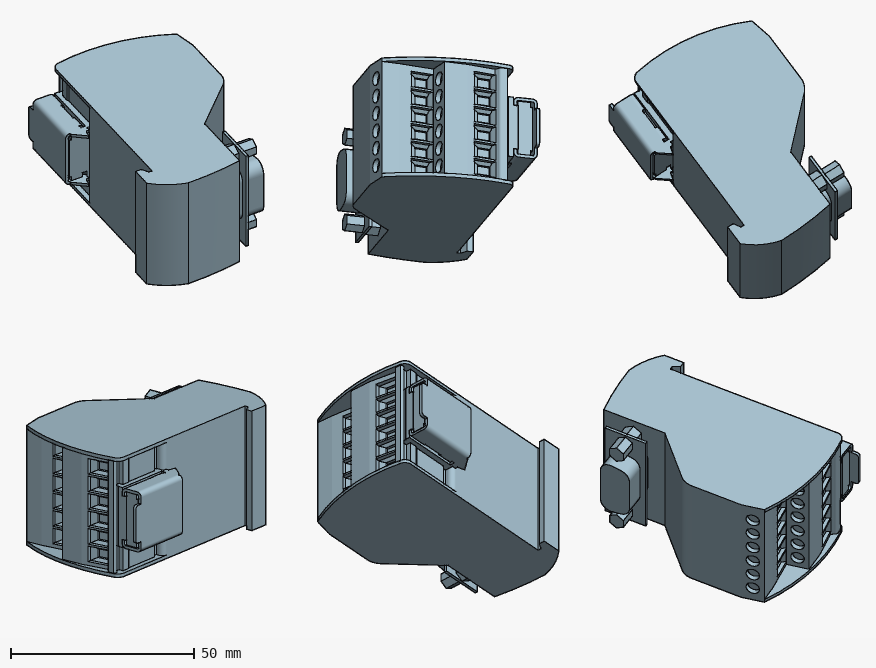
import cadquery as cq
import math

width = 34.74
plate_thickness = 1.04
inner_width = width - 2 * plate_thickness
top_y = 37.75
shoulder_y = 22.95
front_corner = (5.85, 36.4)
front_bulge = (0.13, 14.0)
front_foot = (1.35, 0)
front_foot_radius = 2.25
top_start_x = 12.35
shoulder_x = 44.4
slope_angle = 46
slope_radius = 5.5
back_corner = (63.45, shoulder_y)
back_bulge = (64.7, 13.9)
back_tip = (65.05, 5.9)
hook_bulge = (62.95, 0.6)
hook_y = -4.0
hook_back_x = 59.5
hook_tip_x = 53.45
hook_tip_y = -2.2
hook_root_x = 55.45
hook_root_y = -1.0

row_shift = (-4.8, -16.45)
terminal_count = 6
terminal_pitch = 5.08
terminal_center_z = -0.27
face_lean = 0.25
upper_facet_y = 31.3
lower_facet_y = 13.35
step_root = (7.4, 21.25)
step_edge = (front_corner[0] + row_shift[0], front_corner[1] + row_shift[1])
entry_center_y = 24.57
entry_half_length = 3.23
entry_height = 4.5
entry_depth = 1.2
entry_floor_bottom = -2.65
funnel_depth = 0.7
wire_bottom = -2.35
wire_top = 1.35
wire_height = 2.57
wire_depth = 0.8
screw_diameter = 3.8
screw_depth = 1.5
screw_offset = 3.3

rib_x = 1.2
rib_root = (2.7, 5.05)
rib_shoulder = (1.75, 4.35)
rib_shoulder_mid = (1.35, 4.05)
rib_round_end_y = 3.65
rib_round_start_y = 2.05
rib_bottom_mid = (1.6, 1.84)
rib_bottom_y = 1.77
slot_x = (2.3, 4.4)
slot_y = 2.75
ledge_end_x = 6.75
ledge_y = 1.3
floor_start_x = 7.4
floor_end_x = 18.45
floor_y = 1.6
groove_y = 2.4
mouth_x = 21.65
mouth_radius = 1.5

clip_width = 17.4
sheet = 0.87
clip_start_x = 2.3
clip_end_x = 20.1
clip_bottom_y = top_y - 44.57
bend_radius = 1.4
curl_y = -0.1
curl_tip_z = 6.35
window_x = (7.9, 14.3)
window_y = -1.15
relief_x = (18.3, 19.2)
nose_step_x = 21.3
nose_step_y = -0.95
nose_tip = (23.55, -1.55)
nose_heel_x = 20.5
nose_heel_y = -5.35
tab_width = 11.0
tab_radius = 1.0
slider_neck_width = 2 * curl_tip_z
slider_core_width = 15.4
slider_core_top_y = -1.45
slider_core_y = -5.0
slider_keel_y = -5.5
slider_core_setback = 0.3
slider_key_y = slot_y
slider_face_top_y = 1.36
slider_setback = 0.15

connector_x = 54.2
flange_size = (12.65, 31.0)
flange_y = (26.6, 27.4)
shell_width = 9.1
shell_top_y = 33.3
shell_half_narrow = 7.7
shell_half_wide = 9.1
shell_radius = 3.2
jack_z = 12.5
jack_lower_flats = 5.0
jack_upper_flats = 4.3
jack_top_y = 32.4


def box(x, y, z):
    """Box from (low, high) pairs along each axis."""
    size = (x[1] - x[0], y[1] - y[0], z[1] - z[0])
    return cq.Workplane("XY").box(*size, centered=False).translate((x[0], y[0], z[0]))


def along_y(y):
    """Sketch plane at height y whose extrusions run toward +Y; local y is -Z."""
    return cq.Workplane("XZ", origin=(0, y, 0)).transformed(rotate=(180, 0, 0))


def housing():
    slope_run = (top_y - shoulder_y) / math.tan(math.radians(slope_angle))
    slope_top = (shoulder_x - slope_run, top_y)
    body = (
        cq.Workplane("XY", origin=(0, 0, -width / 2))
        .moveTo(*front_foot)
        .lineTo(hook_root_x, 0)
        .lineTo(hook_root_x, hook_root_y)
        .lineTo(hook_tip_x, hook_tip_y)
        .lineTo(hook_tip_x, hook_y)
        .lineTo(hook_back_x, hook_y)
        .threePointArc(hook_bulge, back_tip)
        .threePointArc(back_bulge, back_corner)
        .lineTo(shoulder_x, shoulder_y)
        .lineTo(*slope_top)
        .lineTo(top_start_x, top_y)
        .lineTo(*front_corner)
        .threePointArc(front_bulge, front_foot)
        .close()
        .extrude(width)
    )
    body = body.edges(cq.NearestToPointSelector((*slope_top, 0))).fillet(slope_radius)
    return body.edges(cq.NearestToPointSelector((*front_foot, 0))).fillet(front_foot_radius)


def front_void():
    """Space between the side plates, in front of the terminals and under the slider."""
    outside = -3.0
    wall_x = mouth_x - mouth_radius
    diagonal = mouth_radius * (1 - math.sqrt(0.5))
    return (
        cq.Workplane("XY", origin=(0, 0, -inner_width / 2))
        .moveTo(*front_corner)
        .lineTo(front_corner[0] + face_lean, upper_facet_y)
        .lineTo(*step_root)
        .lineTo(*step_edge)
        .lineTo(step_edge[0] + face_lean, lower_facet_y)
        .lineTo(*rib_root)
        .lineTo(*rib_shoulder)
        .threePointArc(rib_shoulder_mid, (rib_x, rib_round_end_y))
        .lineTo(rib_x, rib_round_start_y)
        .threePointArc(rib_bottom_mid, (slot_x[0], rib_bottom_y))
        .lineTo(slot_x[0], slot_y)
        .lineTo(slot_x[1], slot_y)
        .lineTo(slot_x[1], ledge_y)
        .lineTo(ledge_end_x, ledge_y)
        .lineTo(floor_start_x, floor_y)
        .lineTo(floor_end_x, floor_y)
        .lineTo(floor_end_x, groove_y)
        .lineTo(wall_x, groove_y)
        .lineTo(wall_x, mouth_radius)
        .threePointArc((wall_x + diagonal, diagonal), (mouth_x, 0))
        .lineTo(mouth_x, outside)
        .lineTo(outside, outside)
        .lineTo(outside, front_corner[1])
        .close()
        .extrude(inner_width)
    )


def wire_entry():
    """Wire entry of the upper row, at Z = 0: a pocket, then a funnel, then the wire hole."""
    overhang = 0.5
    facet_run = step_root[0] - front_corner[0] - face_lean
    facet_drop = upper_facet_y - step_root[1]
    center_x = step_root[0] - facet_run * (entry_center_y - step_root[1]) / facet_drop
    facet = cq.Plane(
        origin=(center_x, entry_center_y, 0),
        xDir=(-facet_run, facet_drop, 0),
        normal=(facet_drop, facet_run, 0),
    )

    def section(depth, bottom, top, height):
        plane = cq.Workplane(facet).workplane(offset=depth)
        return plane.center((bottom + top) / 2, 0).rect(top - bottom, height).wires().val()

    def segment(start, end):
        return cq.Workplane(cq.Solid.makeLoft([section(*start), section(*end)], True))

    funnel_end = entry_depth + funnel_depth
    outside = (-overhang, -entry_half_length, entry_half_length, entry_height)
    opening = (0, -entry_half_length, entry_half_length, entry_height)
    entry_floor = (entry_depth, entry_floor_bottom, entry_half_length, entry_height)
    wire_start = (funnel_end, wire_bottom, wire_top, wire_height)
    wire_end = (funnel_end + wire_depth, wire_bottom, wire_top, wire_height)
    cutter = segment(outside, opening).union(segment(opening, entry_floor))
    return cutter.union(segment(entry_floor, wire_start)).union(segment(wire_start, wire_end))


def screw_hole():
    """Screw access hole, square to the sloping top of the upper row, at Z = 0."""
    run = top_start_x - front_corner[0]
    rise = top_y - front_corner[1]
    length = math.hypot(run, rise)
    center_x = front_corner[0] + screw_offset * run / length
    center_y = front_corner[1] + screw_offset * rise / length
    plane = cq.Plane(origin=(center_x, center_y, 0), xDir=(0, 0, 1), normal=(rise, -run, 0))
    return cq.Workplane(plane).circle(screw_diameter / 2).extrude(screw_depth)


def cut_terminals(body):
    cutters = (wire_entry(), screw_hole())
    for index in range(terminal_count):
        z = terminal_center_z + (index - (terminal_count - 1) / 2) * terminal_pitch
        for shift in ((0, 0), row_shift):
            for cutter in cutters:
                body = body.cut(cutter.translate((*shift, z)))
    return body


def slider():
    """Plastic slider that fills the recess and carries the sheet-metal clip."""
    x = (clip_start_x + slider_setback, clip_end_x)
    key_x = (clip_start_x + slider_core_setback, slot_x[1])
    core_x = (clip_start_x + slider_core_setback, clip_end_x)

    def span(size):
        return (-size / 2, size / 2)

    part = box(x, (curl_y, slider_face_top_y), span(clip_width))
    part = part.union(box((ledge_end_x, clip_end_x), (curl_y, floor_y), span(clip_width)))
    part = part.union(box(key_x, (curl_y, slider_key_y), span(clip_width)))
    part = part.union(box((floor_end_x, clip_end_x), (curl_y, groove_y), span(clip_width)))
    part = part.union(box(x, (slider_core_top_y, curl_y), span(slider_neck_width)))
    part = part.union(box(core_x, (slider_core_y, slider_core_top_y), span(slider_core_width)))
    return part.union(box(core_x, (slider_keel_y, slider_core_y), span(slider_neck_width)))


def clip_channel():
    """C-shaped sheet section with inward curls, from the front edge to the arm tips."""
    height = curl_y - clip_bottom_y
    mid_y = (curl_y + clip_bottom_y) / 2
    length = nose_tip[0] - clip_start_x
    outer = (
        cq.Workplane("YZ", origin=(clip_start_x, mid_y, 0))
        .rect(height, clip_width)
        .extrude(length)
        .edges("|X")
        .fillet(bend_radius)
    )
    inner = (
        cq.Workplane("YZ", origin=(clip_start_x, mid_y, 0))
        .rect(height - 2 * sheet, clip_width - 2 * sheet)
        .extrude(length)
        .edges("|X")
        .fillet(bend_radius - sheet)
    )
    opening = box(
        (clip_start_x, nose_tip[0]), (curl_y - sheet, curl_y), (-curl_tip_z, curl_tip_z)
    )
    return outer.cut(inner).cut(opening)


def clip():
    inside = clip_width / 2
    across = (-inside, inside)
    leg_top_y = curl_y - bend_radius
    sheet_part = clip_channel().intersect(box((clip_start_x, clip_end_x), (clip_bottom_y, 0), across))
    sheet_part = sheet_part.cut(box(window_x, (window_y, 0), across))
    sheet_part = sheet_part.cut(box((relief_x[0], clip_end_x), (leg_top_y, 0), across))
    arm = (
        cq.Workplane("XY", origin=(0, 0, inside - sheet))
        .moveTo(relief_x[1], curl_y)
        .lineTo(nose_step_x, curl_y)
        .lineTo(nose_step_x, nose_step_y)
        .lineTo(*nose_tip)
        .lineTo(nose_heel_x, nose_heel_y)
        .lineTo(relief_x[1], nose_heel_y)
        .close()
        .extrude(sheet)
    )
    tab = (
        box(
            (0, clip_start_x + sheet),
            (clip_bottom_y, clip_bottom_y + sheet),
            (-tab_width / 2, tab_width / 2),
        )
        .edges("|Y and <X")
        .fillet(tab_radius)
    )
    return sheet_part.union(arm).union(arm.mirror("XY")).union(tab)


def connector():
    """D-shaped plug with its flange and two hexagonal jack screws."""
    left = connector_x - shell_width / 2
    right = connector_x + shell_width / 2
    shell = (
        along_y(shoulder_y)
        .polyline(
            [
                (left, -shell_half_narrow),
                (right, -shell_half_wide),
                (right, shell_half_wide),
                (left, shell_half_narrow),
            ]
        )
        .close()
        .extrude(shell_top_y - shoulder_y)
        .edges("|Y")
        .fillet(shell_radius)
    )
    flange = along_y(flange_y[0]).center(connector_x, 0).rect(*flange_size)
    part = shell.union(flange.extrude(flange_y[1] - flange_y[0]))
    for z in (-jack_z, jack_z):
        part = part.union(jack_section(z, jack_lower_flats, shoulder_y, flange_y[0]))
        part = part.union(jack_section(z, jack_upper_flats, flange_y[1], jack_top_y))
    return part


def jack_section(z, across_flats, y_low, y_high):
    """Hexagonal bar along Y with flats facing -X and +X."""
    radius = across_flats / math.sqrt(3)
    corners = []
    for index in range(6):
        angle = math.pi / 6 + index * math.pi / 3
        corners.append((connector_x + radius * math.cos(angle), z + radius * math.sin(angle)))
    return along_y(y_low).polyline(corners).close().extrude(y_high - y_low)


result = cut_terminals(housing().cut(front_void()))
result = result.union(slider()).union(clip()).union(connector())